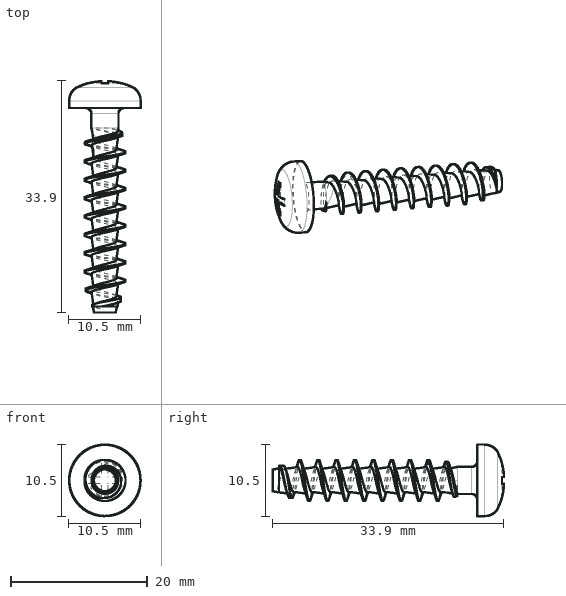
import cadquery as cq
import math

length = 33.92

head_radius = 5.25
head_height = 4.0
rim_height = 1.1
crown_radius = 4.2
crown_depth = 1.0
rim_chamfer = 0.07
crown_arc = (crown_radius**2 + crown_depth**2) / (2 * crown_depth)

recess_width = 0.95
recess_depth = 0.35

shank_radius = 2.0
shank_end = 6.9
neck_fillet = 0.78

first_crest_depth = 10.45
last_crest_depth = 29.27
turns_between = 7
pitch = (last_crest_depth - first_crest_depth) / turns_between
core_radius = 1.7
root_radius = 1.97
crest_radius = 3.02
crest_width = 0.15
flank_angle = 15.0
groove_clearance = 0.15
groove_turns_before = 3
groove_turns = 13

start_radius = 2.3
full_thread_start = 9.33
runout_end = 8.3

tip_start = 33.05
tip_cone_radius = 1.8
tip_radius = 1.6

fade_start_radius = 3.3
fade_angle = 20.0
fade_turns = 1.6
fade_width = 1.1
fade_height = 1.53


def crown_drop(radius):
    """Depth of the crown below its apex at a distance from the axis."""
    return crown_arc - math.sqrt(crown_arc**2 - radius**2)


def make_head():
    """Revolve the domed head: a flat crown arc, a tighter edge arc and a straight rim."""
    dome_depth = head_height - rim_height
    edge_width = head_radius - crown_radius
    edge_drop = dome_depth - crown_depth
    edge_arc = (edge_width**2 + edge_drop**2) / (2 * edge_width)
    half_angle = math.asin(edge_drop / edge_arc) / 2
    edge_mid = (
        head_radius - edge_arc * (1 - math.cos(half_angle)),
        dome_depth - edge_arc * math.sin(half_angle),
    )
    crown_mid = (crown_radius / 2, crown_drop(crown_radius / 2))
    profile = (
        cq.Workplane("XZ")
        .moveTo(0, 0)
        .threePointArc(crown_mid, (crown_radius, crown_depth))
        .threePointArc(edge_mid, (head_radius, dome_depth))
        .lineTo(head_radius, head_height - rim_chamfer)
        .lineTo(head_radius - rim_chamfer, head_height)
        .lineTo(0, head_height)
        .close()
    )
    return profile.revolve(360, (0, 0, 0), (0, 1, 0))


def make_recess():
    """Two crossed slots that run out through the dome."""
    slot_length = 2 * head_radius
    slot = cq.Workplane("XY").box(slot_length, recess_width, recess_depth, centered=(True, True, False))
    return slot.union(slot.rotate((0, 0, 0), (0, 0, 1), 90))


def make_shank():
    """Revolve the shank, its rounded neck under the head and the cone that runs it into the core."""
    neck_radius = shank_radius + neck_fillet
    neck_end = head_height + neck_fillet
    neck_mid = (
        neck_radius - neck_fillet * math.cos(math.radians(45)),
        neck_end - neck_fillet * math.sin(math.radians(45)),
    )
    profile = (
        cq.Workplane("XZ")
        .moveTo(0, head_height)
        .lineTo(neck_radius, head_height)
        .threePointArc(neck_mid, (shank_radius, neck_end))
        .lineTo(shank_radius, shank_end)
        .lineTo(core_radius, runout_end)
        .lineTo(0, runout_end)
        .close()
    )
    return profile.revolve(360, (0, 0, 0), (0, 1, 0))


def make_groove():
    """Sweep the gap between two ridges: its floor tapers from the root down to the core."""
    flank_slope = math.tan(math.radians(flank_angle))
    outer_radius = crest_radius + groove_clearance

    def half_width(radius):
        return crest_width / 2 + (crest_radius - radius) * flank_slope

    outline = [
        (outer_radius, half_width(outer_radius)),
        (root_radius, half_width(root_radius)),
        (core_radius, pitch - half_width(core_radius)),
        (outer_radius, pitch - half_width(outer_radius)),
    ]
    start = first_crest_depth - groove_turns_before * pitch
    points = [(radius, start + offset) for radius, offset in outline]
    path = cq.Wire.makeHelix(pitch, groove_turns * pitch, crest_radius, center=cq.Vector(0, 0, start))
    return cq.Workplane("XZ").polyline(points).close().sweep(cq.Workplane(path), isFrenet=True)


def make_fade():
    """Sweep a block over the crest on a narrowing helix, so that the last ridge fades out at the tip."""
    start = last_crest_depth
    path = cq.Wire.makeHelix(
        pitch,
        fade_turns * pitch,
        fade_start_radius,
        center=cq.Vector(0, 0, start),
        angle=-fade_angle,
    )
    block = cq.Workplane("XZ").center(fade_start_radius + fade_height / 2, start).rect(fade_height, fade_width)
    return block.sweep(cq.Workplane(path), isFrenet=True)


def make_thread():
    """A spindle that tapers at the start and at the tip, with the helical groove cut into it."""
    corner_radius = recess_width / math.sqrt(2)
    tip_depth = length + crown_drop(corner_radius)
    blank = (
        cq.Workplane("XZ")
        .polyline([
            (0, shank_end),
            (start_radius, shank_end),
            (crest_radius, full_thread_start),
            (crest_radius, tip_start),
            (tip_cone_radius, tip_start),
            (tip_radius, tip_depth),
            (0, tip_depth),
        ])
        .close()
        .revolve(360, (0, 0, 0), (0, 1, 0))
    )
    blank = blank.rotate((0, 0, 0), (0, 0, 1), 180)
    return blank.cut(make_groove(), clean=False).cut(make_fade(), clean=False)


head = make_head().cut(make_recess())
screw = head.union(make_shank()).union(make_thread(), clean=False)
result = screw.rotate((0, 0, 0), (1, 0, 0), 90)